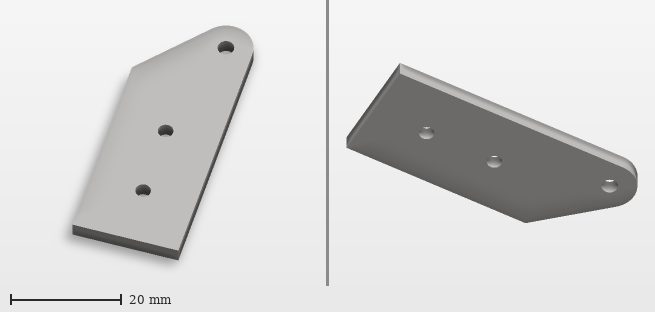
import cadquery as cq
import math

width = 20.0
length = 51.0
thickness = 3.0
left_edge_length = 36.85

tip_radius = 5.0
tip_x = width - tip_radius
tip_y = length - tip_radius

tip_hole_diameter = 3.0
mount_hole_diameter = 2.8
mount_hole_x = width / 2
mount_hole_heights = (11.0, 25.0)


def tip_point(angle):
    """Point on the tip circle at an angle from +X, in radians."""
    return (tip_x + tip_radius * math.cos(angle), tip_y + tip_radius * math.sin(angle))


corner_dx = -tip_x
corner_dy = left_edge_length - tip_y
corner_angle = math.atan2(corner_dy, corner_dx) % (2 * math.pi)
tangent_angle = corner_angle - math.acos(tip_radius / math.hypot(corner_dx, corner_dy))

plate = (
    cq.Workplane("XY")
    .lineTo(width, 0)
    .lineTo(width, tip_y)
    .threePointArc(tip_point(tangent_angle / 2), tip_point(tangent_angle))
    .lineTo(0, left_edge_length)
    .close()
    .extrude(thickness)
)


def hole_cutter(x, y, diameter):
    """Cylinder through the full plate thickness."""
    return cq.Workplane("XY").center(x, y).circle(diameter / 2).extrude(thickness)


result = plate.cut(hole_cutter(tip_x, tip_y, tip_hole_diameter))
for mount_hole_y in mount_hole_heights:
    result = result.cut(hole_cutter(mount_hole_x, mount_hole_y, mount_hole_diameter))